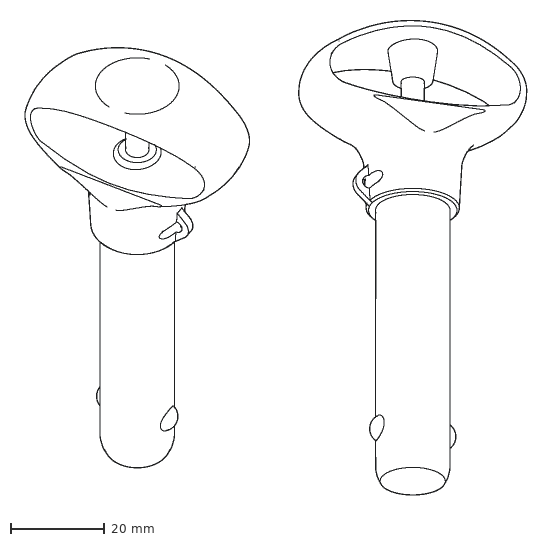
import cadquery as cq
import math

TOTAL_HEIGHT = 104.5

SHANK_RADIUS = 8.0
TIP_RADIUS = 7.0
TIP_HEIGHT = 3.0
TIP_BULGE = 0.2

BALL_RADIUS = 3.15
BALL_HEIGHT = 11.5
BALL_REACH = 9.6

COLLAR_BOTTOM = 64.2
COLLAR_TOP = 75.5
COLLAR_BOTTOM_RADIUS = 10.0
COLLAR_TOP_RADIUS = 10.6
COLLAR_CHAMFER = 0.5

LUG_X = 10.1
LUG_Z = 69.0
LUG_RADIUS = 3.1
LUG_HOLE_RADIUS = 1.5
LUG_THICKNESS = 2.0
LUG_TOP = 73.4

HANDLE_RADIUS = 24.5
HANDLE_MIDDLE = 92.4
TOP_FLAT_RADIUS = 9.0
DOME_RADIUS = 34.0
DOME_EDGE_RADIUS = 21.9
UNDERSIDE_RADIUS = 21.2
UNDERSIDE_HEIGHT = 86.5
NECK_RADIUS = 15.3
NECK_HEIGHT = 83.3
NECK_SLOPE = 0.5
NECK_MID_RADIUS = 12.4
NECK_MID_HEIGHT = 80.0

HANDLE_DEPTH = 24.8
EDGE_FILLET = 0.43
LIP_HEIGHT = 0.65
DOME_OVERRUN = 0.4
FLAT_TOP_DEPTH = 23.1
FLAT_BOTTOM_DEPTH = 22.3
WAIST_DEPTH = 17.1
WAIST_HEIGHT = 91.8
UPPER_WAIST_RADIUS = 18.0
LOWER_WAIST_RADIUS = 10.0

WINDOW_TOP = 102.3
WINDOW_BOTTOM = 84.95
WINDOW_HALF_WIDTH = 21.5
WINDOW_TOP_RADIUS = 36.0
WINDOW_BOTTOM_RADIUS = 65.0
WINDOW_TOP_CORNER_X = 18.9
WINDOW_BOTTOM_CORNER_X = 18.6

STEM_RADIUS = 2.5
BUTTON_BOTTOM = 94.6
BUTTON_BOTTOM_RADIUS = 4.3
BUTTON_TOP_RADIUS = 5.4
BUTTON_FILLET = 0.3
BOSS_TOP = 86.0
BOSS_BOTTOM_RADIUS = 5.3
BOSS_TOP_RADIUS = 4.1

PIN_RADIUS = 1.5
PIN_Y = 10.2
PIN_BOTTOM = 103.0


def cone(bottom_radius, bottom, top_radius, top):
    """Truncated cone on the Z axis."""
    profile = [(0, bottom), (bottom_radius, bottom), (top_radius, top), (0, top)]
    return cq.Workplane("XZ").polyline(profile).close().revolve(360, (0, 0), (0, 1))


def sag(radius, offset):
    """Depth of a circular arc at a given distance from its apex."""
    return radius - math.sqrt(radius**2 - offset**2)


def make_shank():
    """Plain shank with a convex tapered tip."""
    middle = ((SHANK_RADIUS + TIP_RADIUS) / 2 + TIP_BULGE, TIP_HEIGHT / 2)
    return (
        cq.Workplane("XZ")
        .moveTo(0, 0)
        .lineTo(TIP_RADIUS, 0)
        .threePointArc(middle, (SHANK_RADIUS, TIP_HEIGHT))
        .lineTo(SHANK_RADIUS, COLLAR_TOP)
        .lineTo(0, COLLAR_TOP)
        .close()
        .revolve(360, (0, 0), (0, 1))
    )


def make_ball(side):
    center_x = side * (BALL_REACH - BALL_RADIUS)
    return cq.Workplane("XY").sphere(BALL_RADIUS).translate((center_x, 0, BALL_HEIGHT))


def make_collar():
    collar = cone(COLLAR_BOTTOM_RADIUS, COLLAR_BOTTOM, COLLAR_TOP_RADIUS, COLLAR_TOP)
    return collar.faces("<Z").edges().chamfer(COLLAR_CHAMFER)


def make_lug():
    """Flat lanyard ear on the +X side of the collar."""
    diagonal = LUG_RADIUS * math.sqrt(0.5)
    upper = (LUG_X + diagonal, LUG_Z + diagonal)
    lower = (LUG_X + diagonal, LUG_Z - diagonal)
    return (
        cq.Workplane("XZ")
        .moveTo(SHANK_RADIUS, LUG_TOP)
        .lineTo(LUG_X, LUG_TOP)
        .lineTo(*upper)
        .threePointArc((LUG_X + LUG_RADIUS, LUG_Z), lower)
        .lineTo(COLLAR_BOTTOM_RADIUS - COLLAR_CHAMFER, COLLAR_BOTTOM)
        .lineTo(SHANK_RADIUS, COLLAR_BOTTOM)
        .close()
        .extrude(LUG_THICKNESS / 2, both=True)
    )


def make_handle_blank():
    """Mushroom-shaped solid of revolution."""
    dome_center = TOTAL_HEIGHT - math.sqrt(DOME_RADIUS**2 - TOP_FLAT_RADIUS**2)

    def dome_point(radius):
        return (radius, dome_center + math.sqrt(DOME_RADIUS**2 - radius**2))

    straight_down = (0, -1)
    into_neck = (-1, -NECK_SLOPE)
    underside = [(UNDERSIDE_RADIUS, UNDERSIDE_HEIGHT), (NECK_RADIUS, NECK_HEIGHT)]
    dome_middle = dome_point((TOP_FLAT_RADIUS + DOME_EDGE_RADIUS) / 2)
    return (
        cq.Workplane("XZ")
        .moveTo(0, TOTAL_HEIGHT)
        .lineTo(TOP_FLAT_RADIUS, TOTAL_HEIGHT)
        .threePointArc(dome_middle, dome_point(DOME_EDGE_RADIUS))
        .tangentArcPoint((HANDLE_RADIUS, HANDLE_MIDDLE), relative=False)
        .spline(underside, tangents=[straight_down, into_neck], includeCurrent=True)
        .threePointArc((NECK_MID_RADIUS, NECK_MID_HEIGHT), (COLLAR_TOP_RADIUS, COLLAR_TOP))
        .lineTo(0, COLLAR_TOP)
        .close()
        .revolve(360, (0, 0), (0, 1))
    )


def waist_rise(radius, y):
    """Height above or below the waist where a waist arc reaches the half depth y."""
    return math.sqrt(radius**2 - (radius + WAIST_DEPTH / 2 - y) ** 2)


def upper_face_height(y):
    return WAIST_HEIGHT + waist_rise(UPPER_WAIST_RADIUS, y)


def lower_face_height(y):
    return WAIST_HEIGHT - waist_rise(LOWER_WAIST_RADIUS, y)


def make_handle_envelope():
    """Waisted side outline of the handle, extruded along X."""
    waist = WAIST_DEPTH / 2
    top_y = HANDLE_DEPTH / 2 + DOME_OVERRUN
    flat_y = FLAT_TOP_DEPTH / 2
    lip_z = lower_face_height(flat_y)
    upper_middle = (waist + top_y) / 2
    lower_middle = (waist + flat_y) / 2
    return (
        cq.Workplane("YZ")
        .moveTo(0, TOTAL_HEIGHT)
        .lineTo(top_y, TOTAL_HEIGHT)
        .lineTo(top_y, upper_face_height(top_y))
        .threePointArc((upper_middle, upper_face_height(upper_middle)), (waist, WAIST_HEIGHT))
        .threePointArc((lower_middle, lower_face_height(lower_middle)), (flat_y, lip_z))
        .lineTo(flat_y, lip_z - LIP_HEIGHT)
        .lineTo(FLAT_BOTTOM_DEPTH / 2, COLLAR_TOP)
        .lineTo(0, COLLAR_TOP)
        .mirrorY()
        .extrude(HANDLE_RADIUS, both=True)
    )


def make_window():
    """Rounded opening through the handle along Y."""
    top_corner = (WINDOW_TOP_CORNER_X, WINDOW_TOP - sag(WINDOW_TOP_RADIUS, WINDOW_TOP_CORNER_X))
    bottom_corner_z = WINDOW_BOTTOM + sag(WINDOW_BOTTOM_RADIUS, WINDOW_BOTTOM_CORNER_X)
    bottom_corner = (WINDOW_BOTTOM_CORNER_X, bottom_corner_z)
    side = (WINDOW_HALF_WIDTH, (top_corner[1] + bottom_corner[1]) / 2)
    return (
        cq.Workplane("XZ")
        .moveTo(-top_corner[0], top_corner[1])
        .threePointArc((0, WINDOW_TOP), top_corner)
        .threePointArc(side, bottom_corner)
        .threePointArc((0, WINDOW_BOTTOM), (-bottom_corner[0], bottom_corner[1]))
        .threePointArc((-side[0], side[1]), (-top_corner[0], top_corner[1]))
        .close()
        .extrude(HANDLE_DEPTH, both=True)
    )


def make_handle():
    """Waisted handle with rounded outer edges and an open finger window."""
    handle = make_handle_blank().intersect(make_handle_envelope())
    lip_z = lower_face_height(FLAT_TOP_DEPTH / 2)
    box = cq.selectors.BoxSelector
    for side in (-1, 1):
        waist_y = side * WAIST_DEPTH / 2
        outer_y = side * HANDLE_DEPTH / 2
        rim = box((0, waist_y, lip_z + EDGE_FILLET), (HANDLE_RADIUS, outer_y, WAIST_HEIGHT - EDGE_FILLET))
        handle = handle.edges(rim).fillet(EDGE_FILLET)
    return handle.cut(make_window())


def make_pin_holes():
    """Two vertical bores through the dome, in front of and behind its flat top."""
    return (
        cq.Workplane("XY", origin=(0, 0, PIN_BOTTOM))
        .pushPoints([(0, PIN_Y), (0, -PIN_Y)])
        .circle(PIN_RADIUS)
        .extrude(TOTAL_HEIGHT - PIN_BOTTOM)
    )


def make_plunger():
    """Boss on the window floor, stem and tapered button under the dome."""
    boss = cone(BOSS_BOTTOM_RADIUS, WINDOW_BOTTOM, BOSS_TOP_RADIUS, BOSS_TOP)
    stem = cone(STEM_RADIUS, COLLAR_TOP, STEM_RADIUS, WINDOW_TOP)
    button = cone(BUTTON_BOTTOM_RADIUS, BUTTON_BOTTOM, BUTTON_TOP_RADIUS, WINDOW_TOP)
    button = button.faces("<Z").edges().fillet(BUTTON_FILLET)
    return boss.union(stem).union(button)


def make_lug_hole():
    """Lanyard hole along Y, passing through the lug and the collar wall."""
    return (
        cq.Workplane("XZ", origin=(LUG_X, COLLAR_TOP_RADIUS, LUG_Z))
        .circle(LUG_HOLE_RADIUS)
        .extrude(2 * COLLAR_TOP_RADIUS)
    )


def make_pin():
    collar = make_collar().union(make_lug()).cut(make_lug_hole())
    pin = make_shank().union(collar).union(make_handle()).union(make_plunger())
    for side in (-1, 1):
        pin = pin.union(make_ball(side))
    dome_pins = pin.intersect(make_pin_holes())
    return pin.cut(make_pin_holes()).union(dome_pins, clean=False)


result = make_pin()